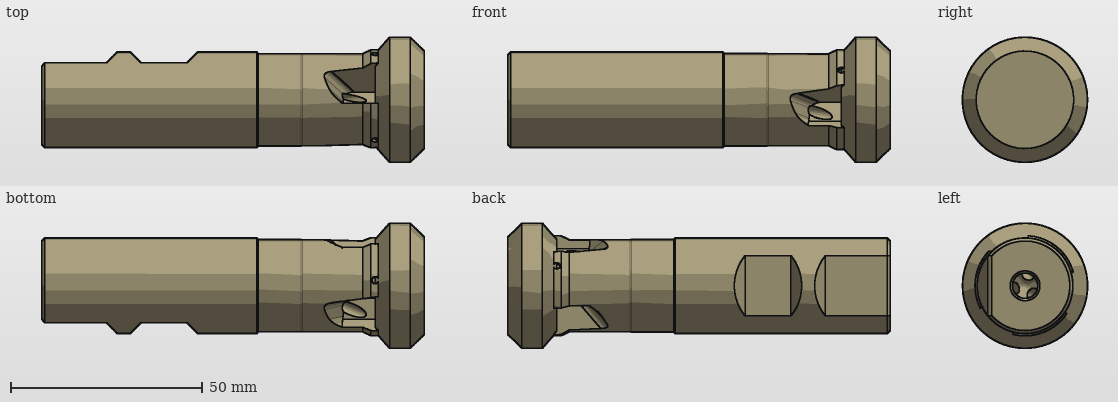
import math

import cadquery as cq

overall_length = 100.07
shank_radius = 12.5
shank_length = 56.6
guide_radius = 12.1
guide_length = 67.8
neck_radius = 12.05
neck_length = 83.9
step_bevel = 0.3
collar_radius = 13.1
collar_start = 86.1
end_chamfer = 0.8

head_start = 87.2
head_radius = 16.385
head_back_angle = 48.5
head_rim_start = 90.95
head_rim_end = 96.3
head_face_radius = 12.75

flat_height = 9.7
flat_chamfer = 1.0
flat_ramp = shank_radius - flat_height
end_flat_length = 17.0
pocket_start = 26.0
pocket_end = 38.0

bore_radius = 3.3
bore_mouth_radius = 3.9
bore_depth = 72.5
bore_tip_angle = 118.0

flute_count = 3
flute_angle = 360.0 / flute_count

corner_out = 5.2
corner_rise = -0.7
tail_x = 72.0
tail_lean = 15.0
head_lean = 33.0
floor_lean = 29.0
knee_rise = -5.6
facet_out = 10.8
facet_rise = -7.2
ramp_corner_x = 81.7
ramp_angle = 50.0
ramp_lean = 19.0
ramp_round = 1.7
ramp_outer_round = 4.0
ramp_width = 8.6
flute_end = 88.5
flute_reach = 14.0

outlet_radius = 1.5
outlet_inner = (72.2, -1.75, -2.0)
outlet_outer = (82.8, -7.7, -3.6)
outlet_overrun = 3.0

dimple_radius = 0.9
dimple_x = 87.25
dimple_angle = 143.5
dimple_depth = 1.0


def revolve_about_x(profile):
    """Revolve a closed list of (x, radius) points about the X axis."""
    return cq.Workplane("XY").polyline(profile).close().revolve(360, (0, 0, 0), (1, 0, 0))


def around_axis(shape):
    """Repeat a shape once per flute around the X axis."""
    copies = shape
    for index in range(1, flute_count):
        copies = copies.union(shape.rotate((0, 0, 0), (1, 0, 0), index * flute_angle))
    return copies


def make_body():
    return revolve_about_x([
        (0, 0),
        (0, shank_radius - end_chamfer),
        (end_chamfer, shank_radius),
        (shank_length - step_bevel, shank_radius),
        (shank_length, guide_radius),
        (guide_length, guide_radius),
        (guide_length + step_bevel, neck_radius),
        (neck_length, neck_radius),
        (collar_start, collar_radius),
        (head_rim_start, collar_radius),
        (head_rim_start, 0),
    ])


def make_head():
    back_slope = math.tan(math.radians(head_back_angle))
    back_radius = head_radius - (head_rim_start - head_start) * back_slope
    return revolve_about_x([
        (head_start, 0),
        (head_start, back_radius),
        (head_rim_start, head_radius),
        (head_rim_end, head_radius),
        (overall_length, head_face_radius),
        (overall_length, 0),
    ])


def make_clamping_flats():
    def across_shank(outline):
        return cq.Workplane("XY").polyline(outline).close().extrude(shank_radius, both=True)

    end_flat = across_shank([
        (0, shank_radius),
        (0, flat_height - flat_chamfer),
        (end_chamfer, flat_height),
        (end_flat_length, flat_height),
        (end_flat_length + flat_ramp, shank_radius),
    ])
    pocket = across_shank([
        (pocket_start - flat_ramp, shank_radius),
        (pocket_start, flat_height),
        (pocket_end, flat_height),
        (pocket_end + flat_ramp, shank_radius),
    ])
    return end_flat.union(pocket)


def make_bore():
    mouth = bore_mouth_radius - bore_radius
    tip = bore_radius / math.tan(math.radians(bore_tip_angle / 2))
    return revolve_about_x([
        (0, 0),
        (0, bore_mouth_radius),
        (mouth, bore_radius),
        (bore_depth, bore_radius),
        (bore_depth + tip, 0),
    ])


def flute_section(lean_angle):
    """Corner points (-Y, Z) of the flute: wall, floor and outer facet, open to the outside."""
    lean = math.radians(lean_angle)
    knee_out = corner_out + (corner_rise - knee_rise) * math.tan(math.radians(floor_lean))
    facet_slope = (facet_rise - knee_rise) / (facet_out - knee_out)
    clear_out = corner_out + flute_reach
    return [
        (-corner_out, corner_rise),
        (-knee_out, knee_rise),
        (-clear_out, knee_rise + facet_slope * (clear_out - knee_out)),
        (-clear_out, corner_rise + flute_reach * math.tan(lean)),
    ]


def make_run_out():
    """Space right of the sloping flute end, rounded along both its sides."""
    lean = math.radians(ramp_lean)
    slope = math.radians(ramp_angle)
    wall = cq.Plane(
        origin=(0, -corner_out, corner_rise),
        xDir=(1, 0, 0),
        normal=(0, -math.sin(lean), -math.cos(lean)),
    )
    ramp_run = flute_reach / math.tan(slope)

    def from_ramp(ramp_x, height):
        return (
            cq.Workplane(wall)
            .polyline([
                (ramp_x, 0),
                (flute_end, 0),
                (flute_end, flute_reach),
                (ramp_x - ramp_run, flute_reach),
            ])
            .close()
            .extrude(height)
        )

    ramp_x = ramp_corner_x - ramp_round / math.sin(slope)
    half_reach = flute_reach / 2
    wall_edge = wall.toWorldCoords((ramp_x - ramp_run / 2, half_reach))
    outer_edge = wall.toWorldCoords((ramp_x - ramp_run / 2, half_reach, ramp_width))
    below_wall = from_ramp(ramp_x, ramp_width)
    below_wall = below_wall.edges(cq.NearestToPointSelector(wall_edge.toTuple())).fillet(ramp_round)
    below_wall = below_wall.edges(cq.NearestToPointSelector(outer_edge.toTuple())).fillet(ramp_outer_round)
    above_wall = from_ramp(ramp_corner_x, -flute_reach)
    return below_wall.union(above_wall)


def make_flute():
    section = (
        cq.Workplane("YZ", origin=(tail_x, 0, 0))
        .polyline(flute_section(tail_lean))
        .close()
        .workplane(offset=flute_end - tail_x)
        .polyline(flute_section(head_lean))
        .close()
        .loft(ruled=True)
    )
    return section.intersect(make_run_out())


def make_outlet():
    inner = cq.Vector(*outlet_inner)
    path = cq.Vector(*outlet_outer) - inner
    start = inner - path.normalized() * outlet_overrun
    length = path.Length + 2 * outlet_overrun
    return cq.Workplane(obj=cq.Solid.makeCylinder(outlet_radius, length, start, path))


def make_dimple():
    angle = math.radians(dimple_angle)
    outward = cq.Vector(0, math.cos(angle), math.sin(angle))
    base = cq.Vector(dimple_x, 0, 0) + outward * (collar_radius - dimple_depth)
    return cq.Workplane(obj=cq.Solid.makeCylinder(dimple_radius, 2 * dimple_depth, base, outward))


shank = make_body().cut(make_clamping_flats())
shank = shank.cut(around_axis(make_flute()))
shank = shank.cut(around_axis(make_dimple()))
tool = shank.union(make_head())
result = tool.cut(make_bore()).cut(around_axis(make_outlet()))